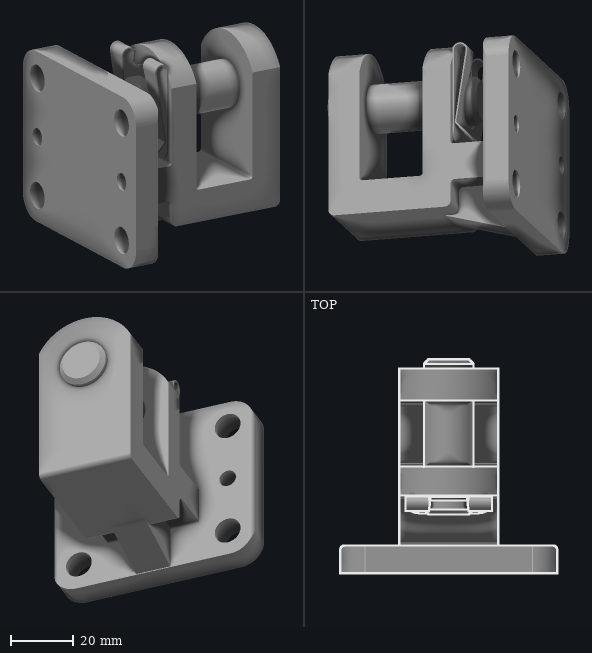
import cadquery as cq
import math

plate_width = 70.0
plate_height = 58.0
plate_thickness = 9.0
plate_corner_radius = 8.0
plate_side_rounding = 1.5
bolt_diameter = 9.0
hole_edge_distance = 9.0
dowel_diameter = 5.8

fork_width = 32.0
fork_front_y = 25.0
fork_back_y = 66.0
fork_bottom_z = 6.0
fork_corner_radius = 2.0
ear_radius = 18.0
slot_front_y = 34.4
slot_back_y = 55.6
slot_floor_z = 17.0
slot_fillet = 1.0
arm_bottom_z = 15.0
arm_top_z = 27.0
arm_fillet = 0.8
arm_corner_fillet = 1.5
rib_width = 12.0
rib_foot_z = 0.3
rib_end_y = 30.0

pin_diameter = 16.0
pin_length = 50.0
pin_chamfer = 1.5
pin_front_y = 19.0
pin_z = 45.0
groove_diameter = 12.0
groove_width = 1.5

sheet = 0.5
clip_width = 28.0
clip_corner_radius = 4.5
clip_bottom_z = arm_top_z + arm_fillet
clip_back_top_z = 59.9
bend_inner_diameter = 4.0
bend_z = 58.7
knee_z = 34.6
knee_gap = 0.3
tail_angle = 40.0
tail_length = 7.0
tail_corner_radius = 5.0
leg_opening_radius = 8.7
leg_opening_taper = 9.5
notch_floor_radius = 11.5
notch_fillet = 1.0


def slab(points, width):
    """Closed outline of (y, z) points extruded symmetrically about x = 0."""
    return cq.Workplane("YZ").polyline(points).close().extrude(width / 2, both=True)


def y_cylinder(radius, start_y, end_y, z, x=0.0):
    """Cylinder along Y from start_y to end_y."""
    return cq.Workplane("XZ", origin=(x, start_y, z)).circle(radius).extrude(start_y - end_y)


def crosswise_edge(y, z):
    """Selector for the edge that runs along X through (y, z), centred on x = 0."""
    reach = 0.1
    return cq.selectors.BoxSelector((-reach, y - reach, z - reach), (reach, y + reach, z + reach))


def make_plate():
    blank = cq.Workplane("XY").box(
        plate_width, plate_thickness, plate_height, centered=(True, False, False)
    )
    rounded_sides = blank.faces(">Y").edges("|Z").fillet(plate_side_rounding)
    rounded_corners = blank.edges("|Y").fillet(plate_corner_radius)
    plate = rounded_sides.intersect(rounded_corners)

    hole_x = plate_width / 2 - hole_edge_distance
    holes = (
        (hole_edge_distance, bolt_diameter),
        (plate_height / 2, dowel_diameter),
        (plate_height - hole_edge_distance, bolt_diameter),
    )
    for x in (-hole_x, hole_x):
        for z, diameter in holes:
            plate = plate.cut(y_cylinder(diameter / 2, 0, plate_thickness, z, x))
    return plate


def make_fork():
    top_z = pin_z + ear_radius
    fork = slab(
        [
            (plate_thickness, arm_bottom_z),
            (fork_front_y, arm_bottom_z),
            (fork_front_y, fork_bottom_z),
            (fork_back_y, fork_bottom_z),
            (fork_back_y, top_z),
            (slot_back_y, top_z),
            (slot_back_y, slot_floor_z),
            (slot_front_y, slot_floor_z),
            (slot_front_y, top_z),
            (fork_front_y, top_z),
            (fork_front_y, arm_top_z),
            (plate_thickness, arm_top_z),
        ],
        fork_width,
    )
    rounded_edges = (
        (fork_front_y, fork_bottom_z, fork_corner_radius),
        (fork_back_y, fork_bottom_z, fork_corner_radius),
        (slot_front_y, slot_floor_z, slot_fillet),
        (slot_back_y, slot_floor_z, slot_fillet),
        (fork_front_y, arm_bottom_z, arm_corner_fillet),
        (fork_front_y, arm_top_z, arm_fillet),
    )
    for y, z, radius in rounded_edges:
        fork = fork.edges(crosswise_edge(y, z)).fillet(radius)

    below_pin = cq.Workplane("XY").box(fork_width, fork_back_y, pin_z, centered=(True, False, False))
    ear_outline = below_pin.union(y_cylinder(ear_radius, 0, fork_back_y, pin_z))
    return fork.intersect(ear_outline)


def make_rib():
    return slab(
        [
            (plate_thickness, rib_foot_z),
            (rib_end_y, fork_bottom_z),
            (rib_end_y, arm_bottom_z),
            (plate_thickness, arm_bottom_z),
        ],
        rib_width,
    )


def make_bracket():
    bracket = make_plate().union(make_fork())
    for z in (arm_bottom_z, arm_top_z):
        bracket = bracket.edges(crosswise_edge(plate_thickness, z)).fillet(arm_fillet)
    bracket = bracket.union(make_rib())
    return bracket.cut(y_cylinder(pin_diameter / 2, fork_front_y, fork_back_y, pin_z))


def make_pin():
    pin = y_cylinder(pin_diameter / 2, pin_front_y, pin_front_y + pin_length, pin_z)
    pin = pin.edges().chamfer(pin_chamfer)
    groove_front_y = fork_front_y - groove_width
    ring = y_cylinder(pin_diameter, groove_front_y, fork_front_y, pin_z).cut(
        y_cylinder(groove_diameter / 2, groove_front_y, fork_front_y, pin_z)
    )
    return pin.cut(ring)


def along(start, direction, distance):
    """Point reached from a (y, z) start by going a distance along a (y, z) direction."""
    return (start[0] + distance * direction[0], start[1] + distance * direction[1])


def make_clip_opening():
    """Keyhole prism around the pin head: a round bottom with straight sides closing upward."""
    taper = math.radians(leg_opening_taper)
    side_x = leg_opening_radius * math.cos(taper)
    side_z = pin_z + leg_opening_radius * math.sin(taper)
    top_z = bend_z + bend_inner_diameter
    top_x = side_x - (top_z - side_z) * math.tan(taper)
    return (
        cq.Workplane("XZ", origin=(0, fork_front_y, 0))
        .moveTo(-top_x, top_z)
        .lineTo(-side_x, side_z)
        .threePointArc((0, pin_z - leg_opening_radius), (side_x, side_z))
        .lineTo(top_x, top_z)
        .close()
        .extrude(fork_front_y - pin_front_y)
    )


def make_clip_back():
    """Flat strip against the ear, with the pin hole and a notch between the two bends."""
    back = (
        cq.Workplane("XY", origin=(0, fork_front_y - sheet / 2, clip_bottom_z))
        .box(clip_width, sheet, clip_back_top_z - clip_bottom_z, centered=(True, True, False))
        .faces("<Z")
        .edges("|Y")
        .fillet(clip_corner_radius)
    )
    notch_floor = y_cylinder(notch_floor_radius, pin_front_y, fork_front_y, pin_z)
    notch = make_clip_opening().cut(notch_floor)
    notch = notch.faces("<X or >X").edges("|Y").edges("<Z").fillet(notch_fillet)
    hole = y_cylinder(groove_diameter / 2, fork_front_y - sheet, fork_front_y, pin_z)
    return back.cut(notch).cut(hole)


def make_clip_spring():
    """Bend, leaning leg and flared tail, split by the opening around the pin head."""
    inner_radius = bend_inner_diameter / 2
    outer_radius = inner_radius + sheet
    center = (fork_front_y - outer_radius, bend_z)
    inward, upward = (1, 0), (0, 1)
    knee = (fork_front_y - sheet - knee_gap, knee_z)

    drop = bend_z - knee_z
    leg_length = math.sqrt(drop**2 + (knee[0] - center[0]) ** 2 - inner_radius**2)
    lean = math.atan2(knee[0] - center[0], drop) + math.atan2(inner_radius, leg_length)
    leg_normal = (-math.cos(lean), -math.sin(lean))

    flare = math.radians(tail_angle)
    tail_direction = (-math.sin(flare), -math.cos(flare))
    tail_normal = (-math.cos(flare), math.sin(flare))
    tail_end = along(knee, tail_direction, tail_length)

    half_turn = (lean + flare) / 2
    miter_angle = (lean - flare) / 2
    miter = (-math.cos(miter_angle), -math.sin(miter_angle))
    outer_knee = along(knee, miter, sheet / math.cos(half_turn))

    spring = (
        cq.Workplane("YZ")
        .moveTo(*along(center, inward, outer_radius))
        .threePointArc(along(center, upward, outer_radius), along(center, leg_normal, outer_radius))
        .lineTo(*outer_knee)
        .lineTo(*along(tail_end, tail_normal, sheet))
        .lineTo(*tail_end)
        .lineTo(*knee)
        .lineTo(*along(center, leg_normal, inner_radius))
        .threePointArc(along(center, upward, inner_radius), along(center, inward, inner_radius))
        .close()
        .extrude(clip_width / 2, both=True)
    )
    across_tail = cq.selectors.ParallelDirSelector(cq.Vector(0, *tail_normal))
    spring = spring.edges(across_tail).fillet(tail_corner_radius)
    return spring.cut(make_clip_opening())


def make_clip():
    return make_clip_back().union(make_clip_spring())


bracket = make_bracket().solids()
pin = make_pin().solids()
clip = make_clip().solids()
result = cq.Compound.makeCompound([bracket.val(), pin.val(), clip.val()])